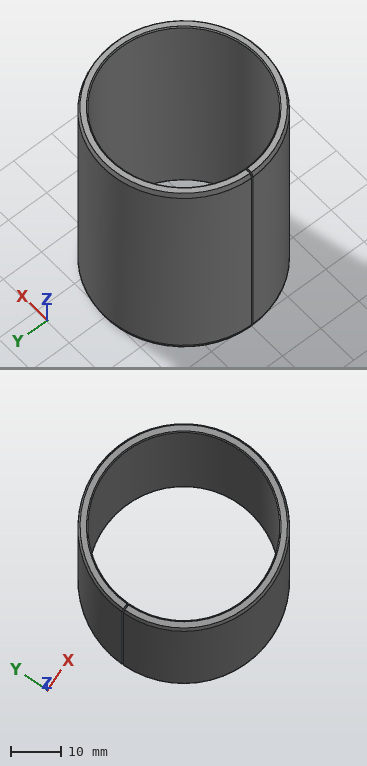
import cadquery as cq

length = 55.0
outer_diameter = 42.0
wall = 2.0
outer_chamfer_height = 1.2
outer_chamfer_depth = 0.45
inner_chamfer = 0.3
slit_angle = 1.0

outer_radius = outer_diameter / 2
bore_radius = outer_radius - wall
half_length = length / 2


def sleeve():
    """Revolve the wall section, chamfered inside and outside at both ends, leaving the slit open."""
    lip_outer_radius = outer_radius - outer_chamfer_depth
    lip_inner_radius = bore_radius + inner_chamfer
    outer_edge_z = half_length - outer_chamfer_height
    inner_edge_z = half_length - inner_chamfer
    section = [
        (bore_radius, -inner_edge_z),
        (lip_inner_radius, -half_length),
        (lip_outer_radius, -half_length),
        (outer_radius, -outer_edge_z),
        (outer_radius, outer_edge_z),
        (lip_outer_radius, half_length),
        (lip_inner_radius, half_length),
        (bore_radius, inner_edge_z),
    ]
    ring = cq.Workplane("XZ").polyline(section).close().revolve(360 - slit_angle, (0, 0), (0, 1))
    return ring.rotate((0, 0, 0), (0, 0, 1), 180)


result = sleeve()